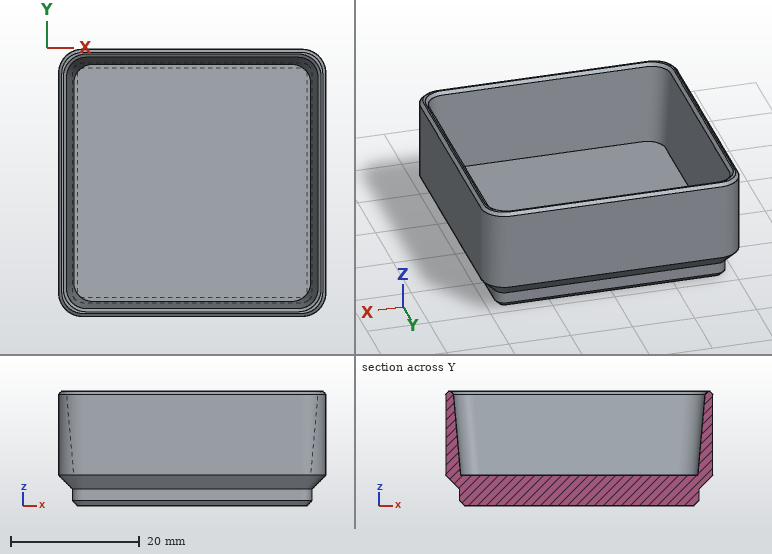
import cadquery as cq

outer_width = 41.5
total_height = 17.8
outer_radius = 3.75
rim_outer_chamfer = 0.5

foot_chamfer = 0.8
neck_inset = 2.15
neck_top = 2.6
shoulder_top = neck_top + neck_inset

floor_height = shoulder_top
floor_inset = 2.37
floor_radius = 2.9
mouth_inset = 0.75
rim_inner_chamfer = 0.5
wall_top_inset = mouth_inset + rim_inner_chamfer
wall_top_radius = 3.05


def rounded_square(inset, radius, height):
    """Rounded square, set in from the outer walls, at the given height."""
    width = outer_width - 2 * inset
    outline = cq.Sketch().rect(width, width).vertices().fillet(radius)
    return outline.moved(cq.Location(cq.Vector(0, 0, height)))


def concentric_square(inset, height):
    """Rounded square whose corner arcs share the centres of the outer corners."""
    return rounded_square(inset, outer_radius - inset, height)


def stack(sections):
    """Solid rising through the sections, with straight sides between neighbours."""
    pairs = zip(sections, sections[1:])
    layers = [cq.Workplane("XY").placeSketch(lower, upper).loft() for lower, upper in pairs]
    solid = layers[0]
    for layer in layers[1:]:
        solid = solid.union(layer)
    return solid


def make_body():
    """Solid outer shape, from the foot to the rim."""
    return stack([
        concentric_square(neck_inset + foot_chamfer, 0),
        concentric_square(neck_inset, foot_chamfer),
        concentric_square(neck_inset, neck_top),
        concentric_square(0, shoulder_top),
        concentric_square(0, total_height - rim_outer_chamfer),
        concentric_square(rim_outer_chamfer, total_height),
    ])


def make_cavity():
    """Open space inside the tray, from the floor to the mouth."""
    return stack([
        rounded_square(floor_inset, floor_radius, floor_height),
        rounded_square(wall_top_inset, wall_top_radius, total_height - rim_inner_chamfer),
        rounded_square(mouth_inset, wall_top_radius + rim_inner_chamfer, total_height),
    ])


result = make_body().cut(make_cavity())